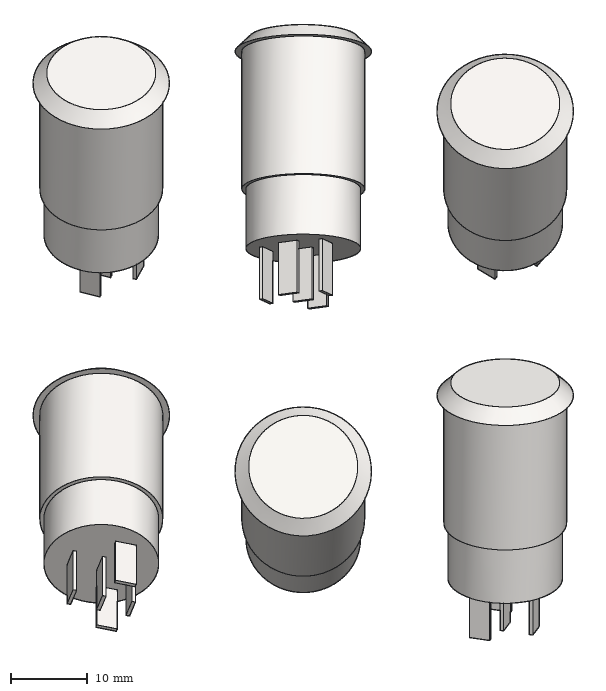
import cadquery as cq

total_height = 35.3

head_radius = 8.9
head_bevel = 1.8
body_radius = 8.0
base_radius = 7.5
base_height = 8.0

terminal_length = 7.0
terminal_width = 2.8
terminal_thickness = 0.5
row_spacing = 4.0
side_offset = 4.4
side_y = row_spacing / 2

base_top = terminal_length + base_height
head_bottom = total_height - head_bevel


def make_housing():
    """Revolve the stepped housing and its conical head about Z."""
    profile = (
        cq.Workplane("XZ")
        .moveTo(0, terminal_length)
        .lineTo(base_radius, terminal_length)
        .lineTo(base_radius, base_top)
        .lineTo(body_radius, base_top)
        .lineTo(body_radius, head_bottom)
        .lineTo(head_radius, head_bottom)
        .lineTo(head_radius - head_bevel, total_height)
        .lineTo(0, total_height)
        .close()
    )
    return profile.revolve(360, (0, 0), (0, 1))


def make_terminal(x, y, size_x, size_y):
    """Make a blade from Z = 0 up to the underside of the housing."""
    return (
        cq.Workplane("XY")
        .center(x, y)
        .rect(size_x, size_y)
        .extrude(terminal_length)
    )


result = make_housing()

for y in (-row_spacing, 0, row_spacing):
    result = result.union(make_terminal(0, y, terminal_width, terminal_thickness))

for x in (-side_offset, side_offset):
    result = result.union(make_terminal(x, side_y, terminal_thickness, terminal_width))